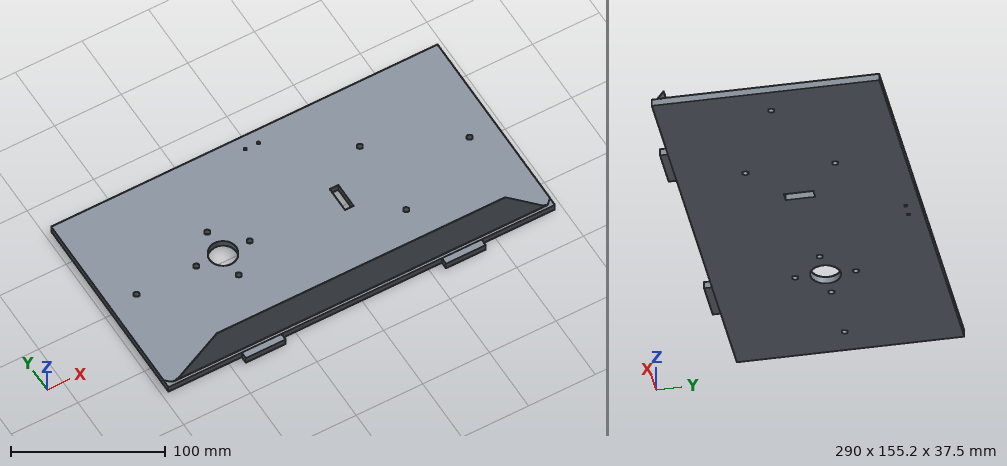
import cadquery as cq
import math

PLATE_LENGTH = 290.0
PLATE_WIDTH = 150.0
PLATE_THICKNESS = 5.0

OVERALL_HEIGHT = 37.5
SHEET_THICKNESS = 0.3
BEND_OUTER_RADIUS = 3.5
SHEET_SETBACK = 0.5
BEND_START_INSET = 2.3

LARGE_HOLE_X = -60.0
LARGE_HOLE_DIAMETER = 20.0
HOLE_DIAMETER = 4.0
BOLT_CIRCLE_RADIUS = 20.0
END_HOLE_X = 125.0
PAIR_HOLE_X = -LARGE_HOLE_X
PAIR_HOLE_Y = 29.5
SMALL_HOLE_DIAMETER = 2.0
SMALL_HOLE_X = 5.0
SMALL_HOLE_Y = 65.2
SLOT_X = 29.0
SLOT_LENGTH_X = 6.5
SLOT_LENGTH_Y = 19.5

TAB_LENGTH = 30.0
TAB_DEPTH = 5.2
TAB_X = 75.0

PLATE_FRONT_Y = -PLATE_WIDTH / 2
PLATE_BACK_Y = PLATE_WIDTH / 2
SHEET_FRONT_Y = PLATE_FRONT_Y + SHEET_SETBACK
BEND_START_Y = SHEET_FRONT_Y + BEND_OUTER_RADIUS
BEND_TOP_Z = PLATE_THICKNESS + BEND_OUTER_RADIUS

BEND_ARC_LENGTH = BEND_OUTER_RADIUS * math.pi / 2
UPRIGHT_BASE_INSET = BEND_START_INSET + BEND_ARC_LENGTH
UPRIGHT_TOP_INSET = UPRIGHT_BASE_INSET + OVERALL_HEIGHT - BEND_TOP_Z


def make_openings():
    """Cutters for every round hole and the rectangular slot."""
    bolt_points = [
        (
            LARGE_HOLE_X + BOLT_CIRCLE_RADIUS * math.cos(math.radians(angle)),
            BOLT_CIRCLE_RADIUS * math.sin(math.radians(angle)),
        )
        for angle in range(0, 360, 90)
    ]
    end_points = [(-END_HOLE_X, 0), (END_HOLE_X, 0)]
    pair_points = [(PAIR_HOLE_X, -PAIR_HOLE_Y), (PAIR_HOLE_X, PAIR_HOLE_Y)]
    small_points = [(-SMALL_HOLE_X, SMALL_HOLE_Y), (SMALL_HOLE_X, SMALL_HOLE_Y)]

    base = cq.Workplane("XY")
    large = base.center(LARGE_HOLE_X, 0).circle(LARGE_HOLE_DIAMETER / 2).extrude(OVERALL_HEIGHT)
    medium = (
        base.pushPoints(bolt_points + end_points + pair_points)
        .circle(HOLE_DIAMETER / 2)
        .extrude(OVERALL_HEIGHT)
    )
    small = base.pushPoints(small_points).circle(SMALL_HOLE_DIAMETER / 2).extrude(OVERALL_HEIGHT)
    slot = base.center(SLOT_X, 0).rect(SLOT_LENGTH_X, SLOT_LENGTH_Y).extrude(OVERALL_HEIGHT)
    return [large, medium, small, slot]


def cut_openings(body):
    for cutter in make_openings():
        body = body.cut(cutter)
    return body


def make_plate():
    plate = cq.Workplane("XY").box(
        PLATE_LENGTH, PLATE_WIDTH, PLATE_THICKNESS, centered=(True, True, False)
    )
    return cut_openings(plate)


def make_bent_strip():
    """Full-length sheet with a flat part, a quarter bend and an upright part."""
    inner_radius = BEND_OUTER_RADIUS - SHEET_THICKNESS
    diagonal = math.sqrt(0.5)
    outer_middle = (BEND_START_Y - BEND_OUTER_RADIUS * diagonal, BEND_TOP_Z - BEND_OUTER_RADIUS * diagonal)
    inner_middle = (BEND_START_Y - inner_radius * diagonal, BEND_TOP_Z - inner_radius * diagonal)
    sheet_top_z = PLATE_THICKNESS + SHEET_THICKNESS
    upright_back_y = SHEET_FRONT_Y + SHEET_THICKNESS
    return (
        cq.Workplane("YZ")
        .moveTo(PLATE_BACK_Y, PLATE_THICKNESS)
        .lineTo(BEND_START_Y, PLATE_THICKNESS)
        .threePointArc(outer_middle, (SHEET_FRONT_Y, BEND_TOP_Z))
        .lineTo(SHEET_FRONT_Y, OVERALL_HEIGHT)
        .lineTo(upright_back_y, OVERALL_HEIGHT)
        .lineTo(upright_back_y, BEND_TOP_Z)
        .threePointArc(inner_middle, (BEND_START_Y, sheet_top_z))
        .lineTo(PLATE_BACK_Y, sheet_top_z)
        .close()
        .extrude(PLATE_LENGTH / 2, both=True)
    )


def half_length(inset):
    return PLATE_LENGTH / 2 - inset


def bend_edge_point(fraction):
    """Point a given fraction along the bend's mitred edge, in plan on the +X side."""
    x = half_length(BEND_START_INSET + BEND_ARC_LENGTH * fraction)
    y = BEND_START_Y - BEND_OUTER_RADIUS * math.sin(fraction * math.pi / 2)
    return (x, y)


def make_flat_outline():
    """Upright prism trimming the flat part and the bend, open to the front past the upright."""
    upright_base_x = half_length(UPRIGHT_BASE_INSET)
    miter_start_y = BEND_START_Y + BEND_START_INSET
    right_edge = [bend_edge_point(fraction) for fraction in (0, 0.5, 1)]
    left_edge = [(-x, y) for x, y in reversed(right_edge)]
    return (
        cq.Workplane("XY")
        .moveTo(half_length(0), PLATE_BACK_Y)
        .lineTo(half_length(0), miter_start_y)
        .lineTo(*right_edge[0])
        .threePointArc(right_edge[1], right_edge[2])
        .lineTo(upright_base_x, PLATE_FRONT_Y)
        .lineTo(-upright_base_x, PLATE_FRONT_Y)
        .lineTo(*left_edge[0])
        .threePointArc(left_edge[1], left_edge[2])
        .lineTo(-half_length(0), miter_start_y)
        .lineTo(-half_length(0), PLATE_BACK_Y)
        .close()
        .extrude(OVERALL_HEIGHT)
    )


def make_upright_outline():
    """Trapezoid trimming the upright part, with straight sides below it."""
    base_x = half_length(UPRIGHT_BASE_INSET)
    top_x = half_length(UPRIGHT_TOP_INSET)
    flat_x = half_length(0)
    outline = [
        (-flat_x, 0),
        (flat_x, 0),
        (flat_x, BEND_TOP_Z),
        (base_x, BEND_TOP_Z),
        (top_x, OVERALL_HEIGHT),
        (-top_x, OVERALL_HEIGHT),
        (-base_x, BEND_TOP_Z),
        (-flat_x, BEND_TOP_Z),
    ]
    return cq.Workplane("XZ").polyline(outline).close().extrude(PLATE_WIDTH, both=True)


def make_cover_sheet():
    sheet = make_bent_strip().intersect(make_upright_outline()).intersect(make_flat_outline())
    return cut_openings(sheet)


def make_tab(center_x):
    return cq.Workplane("XY").box(
        TAB_LENGTH, TAB_DEPTH, PLATE_THICKNESS, centered=(True, False, False)
    ).translate((center_x, PLATE_FRONT_Y - TAB_DEPTH, 0))


plate = make_plate()
cover_sheet = make_cover_sheet()
tabs = [make_tab(x) for x in (-TAB_X, TAB_X)]

result = cq.Compound.makeCompound(
    [
        *plate.solids().vals(),
        *cover_sheet.solids().vals(),
        *[tab.val() for tab in tabs],
    ]
)